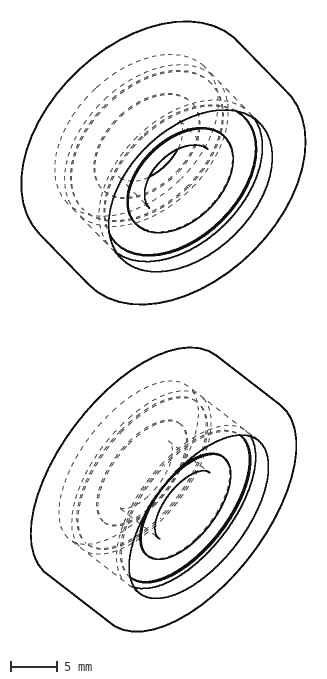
import cadquery as cq

tyre_diameter = 30.0
tyre_width = 11.0
tyre_edge_radius = 0.5

bearing_diameter = 21.0
bearing_inset = 2.0
bearing_width = tyre_width - 2 * bearing_inset
bore_diameter = 9.0
bore_edge_radius = 0.3

shield_outer_diameter = 19.5
shield_inner_diameter = 13.5
shield_depth = 0.2


def tube(outer_diameter, inner_diameter, length, start_x):
    """Plain ring along X that starts at start_x."""
    return (
        cq.Workplane("YZ", origin=(start_x, 0, 0))
        .circle(outer_diameter / 2)
        .circle(inner_diameter / 2)
        .extrude(length)
    )


def make_tyre():
    """Tyre with a straight seat for the bearing and rounded outer edges."""
    tyre = (
        cq.Workplane("YZ", origin=(-tyre_width / 2, 0, 0))
        .circle(tyre_diameter / 2)
        .extrude(tyre_width)
        .edges("%CIRCLE")
        .fillet(tyre_edge_radius)
    )
    return tyre.faces("<X").workplane().hole(bearing_diameter)


def make_bearing():
    """Bearing with rounded bore edges and a shallow shield recess on both faces."""
    half_width = bearing_width / 2
    bearing = tube(bearing_diameter, bore_diameter, bearing_width, -half_width)
    bore_edges = cq.selectors.RadiusNthSelector(0)
    bearing = bearing.edges(bore_edges).fillet(bore_edge_radius)
    for recess_start in (-half_width, half_width - shield_depth):
        recess = tube(shield_outer_diameter, shield_inner_diameter, shield_depth, recess_start)
        bearing = bearing.cut(recess)
    return bearing


tyre = make_tyre()
bearing = make_bearing()

result = cq.Compound.makeCompound([tyre.val(), bearing.val()])